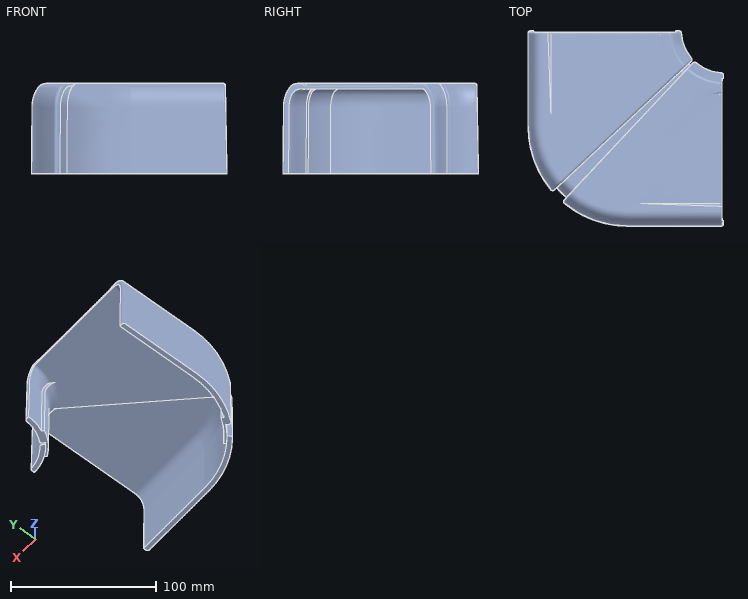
import cadquery as cq
import math

span = 134.9
height = 62.5
corner_radius = 68.9
throat_radius = 29.0
side_draft = 0.4
end_draft = 1.0

shoulder_z = 46.3
shoulder_radius = 22.9
outer_crown_radius = 7.3
throat_crown_radius = 3.2

wall = 3.9
seat_drop = 1.9
tongue_thickness = wall - seat_drop
tongue_half_width = 10.8

gap_at_throat = 0.7
gap_at_corner = 4.9
throat_station = 161.8
corner_station = 28.3

edge_round = 1.8

recess_depth = 1.2
recess_break_depth = 0.18
recess_floor_x = (15.8, 90.9)
recess_rim_x = (13.5, 94.8)
recess_start = [(11.7, 62.8), (36.3, 76.6), (53.4, 87.4), (70.4, 101.7), (94.5, 116.8)]
recess_break = [(15.8, 78.0), (40.3, 96.5), (68.2, 107.8), (84.3, 116.5), (90.9, 124.7)]

overrun = 6.7
mirror_normal = cq.Vector(1, -1, 0)


def mirrored(body):
    """Mirror image across the upright plane through the bend diagonal."""
    return cq.Workplane(body.val().mirror(mirror_normal, cq.Vector(0, 0, 0)))


def side_profile(side_inset, top_drop, crown_radius, far, origin=0):
    """Section from the side wall to `far`, drawn in (distance, z) measured in from `origin`."""
    top = height - top_drop
    lean = side_inset + shoulder_z * math.tan(math.radians(side_draft))
    radius = shoulder_radius - side_inset
    centre_x = lean + radius
    crown_z = top - crown_radius
    tilt = math.asin((crown_z - shoulder_z) / (radius - crown_radius))
    crown_x = centre_x - (radius - crown_radius) * math.cos(tilt)
    crown_mid = (tilt + math.pi / 2) / 2

    def at(x, z):
        return (origin + x, z)

    def on_arc(cx, cz, r, angle):
        return at(cx - r * math.cos(angle), cz + r * math.sin(angle))

    return (
        cq.Workplane("XZ")
        .moveTo(*at(side_inset, 0))
        .lineTo(*at(lean, shoulder_z))
        .threePointArc(on_arc(centre_x, shoulder_z, radius, tilt / 2),
                       on_arc(centre_x, shoulder_z, radius, tilt))
        .threePointArc(on_arc(crown_x, crown_z, crown_radius, crown_mid), at(crown_x, top))
        .lineTo(*at(far, top))
        .lineTo(*at(far, 0))
        .close()
    )


def elbow(side_inset, top_drop):
    """Solid elbow, inset from the outside by `side_inset` at the sides and `top_drop` on top."""
    reach = span + overrun
    arm = (
        side_profile(side_inset, top_drop, outer_crown_radius, reach)
        .extrude(-(reach - corner_radius))
        .translate((0, corner_radius, 0))
    )
    other_arm = mirrored(arm)
    bend = (
        side_profile(side_inset, top_drop, outer_crown_radius, corner_radius)
        .revolve(90, (corner_radius, 0), (corner_radius, 1))
        .translate((0, corner_radius, 0))
    )
    throat = (
        side_profile(side_inset, top_drop, throat_crown_radius, -throat_radius, throat_radius)
        .revolve(360, (0, 0), (0, 1))
        .translate((span, span, 0))
    )
    return arm.union(bend).union(other_arm).cut(throat)


def from_diagonal(along, across):
    """Plan point given along the bend diagonal and across it, towards the Y arm."""
    return ((along - across) / math.sqrt(2), (along + across) / math.sqrt(2))


def gap_half_width(along):
    slope = (gap_at_throat - gap_at_corner) / (throat_station - corner_station)
    return gap_at_corner + slope * (along - corner_station)


def cover_side():
    """Block on the Y-arm side of the gap."""
    far = 2 * span
    outline = [
        from_diagonal(0, gap_half_width(0)),
        from_diagonal(far, gap_half_width(far)),
        from_diagonal(far, far),
        from_diagonal(0, far),
    ]
    return cq.Workplane("XY").polyline(outline).close().extrude(height)


def beyond_open_end():
    """Block past the drafted end plane of the Y arm."""
    setback = height * math.tan(math.radians(end_draft))
    far = span + 2 * overrun
    outline = [(span, 0), (far, 0), (far, height), (span - setback, height)]
    return cq.Workplane("YZ").polyline(outline).close().extrude(far)


def recess_cutter():
    """Wedge whose floor falls in two slopes from a curved start line to the open end."""
    end_y = span + overrun
    floor_z = height - recess_depth

    def points(plan, z):
        return [cq.Vector(x, y, z) for x, y in plan]

    start = points(recess_start, height)
    crease = points(recess_break, height - recess_break_depth)
    rim = points([(x, end_y) for x in recess_rim_x], height)
    floor = points([(x, end_y) for x in recess_floor_x], floor_z)

    start_edge = cq.Edge.makeSpline(start)
    crease_edge = cq.Edge.makeSpline(crease)
    floor_edge = cq.Edge.makeLine(*floor)
    faces = [
        cq.Face.makeRuledSurface(start_edge, crease_edge),
        cq.Face.makeRuledSurface(crease_edge, floor_edge),
    ]
    for side in (0, -1):
        for tip in ((floor[side], crease[side]), (crease[side], start[side])):
            faces.append(cq.Face.makeFromWires(cq.Wire.makePolygon([rim[side], *tip], close=True)))
    end_outline = [rim[0], rim[1], floor[1], floor[0]]
    faces.append(cq.Face.makeFromWires(cq.Wire.makePolygon(end_outline, close=True)))
    lid_edges = [
        start_edge,
        cq.Edge.makeLine(start[-1], rim[1]),
        cq.Edge.makeLine(rim[1], rim[0]),
        cq.Edge.makeLine(rim[0], start[0]),
    ]
    faces.append(cq.Face.makeFromWires(cq.Wire.assembleEdges(lid_edges)))
    return cq.Workplane(cq.Solid.makeSolid(cq.Shell.makeShell(faces)))


def diagonal_strip(side_inset, top_drop):
    """Part of an inset elbow that lies within the tongue width of the diagonal."""
    strip = (
        cq.Workplane("XY")
        .polyline([
            from_diagonal(0, -tongue_half_width),
            from_diagonal(2 * span, -tongue_half_width),
            from_diagonal(2 * span, tongue_half_width),
            from_diagonal(0, tongue_half_width),
        ])
        .close()
        .extrude(height)
    )
    return elbow(side_inset, top_drop).intersect(strip)


def cover():
    """Hollow cover of the Y arm, open below and at its end, with rounded rims."""
    body = elbow(0, 0).intersect(cover_side()).cut(recess_cutter()).cut(beyond_open_end())
    gap_centre = (*from_diagonal(span / math.sqrt(2), 0), height / 2)
    gap_face = body.faces(cq.NearestToPointSelector(gap_centre))
    end_face = body.faces(">Y")
    rims = gap_face.edges("not <Z").vals() + end_face.edges("not <Z").vals()
    return body.newObject(rims).fillet(edge_round).cut(elbow(wall, wall))


plain_cover = cover()
tongue_envelope = diagonal_strip(wall, seat_drop)
tongue = tongue_envelope.cut(elbow(wall + tongue_thickness, wall))

tongue_cover = plain_cover.union(tongue)
seat_cover = mirrored(plain_cover.cut(tongue_envelope))

result = cq.Compound.makeCompound([tongue_cover.solids().val(), seat_cover.solids().val()])